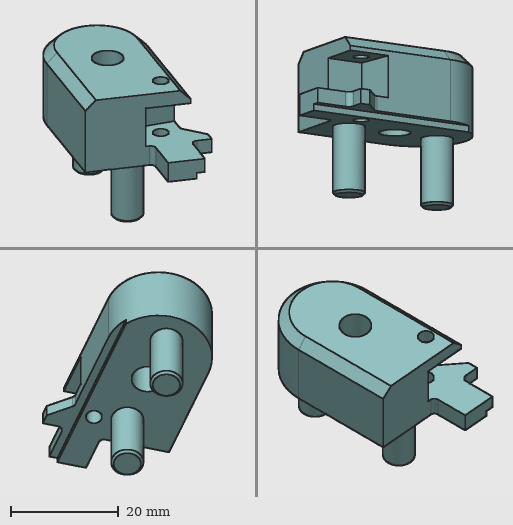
import cadquery as cq
import math

body_radius = 10.0
body_height = 14.85
top_chamfer = 2.0
front_corner_x = 30.3
rake_angle = 7.0

pin_radius = 3.0
pin_length = 13.0
pin_chamfer = 0.5
pin_spacing = 20.1
first_pin_x = 5.83

main_hole_radius = 2.97
main_hole_x = 15.5
small_hole_radius = 1.5
small_hole_x = 27.5
small_hole_y = 6.03

plate_height = 4.0
overall_length = 40.2
tab_side_y = 3.0
tail_end_y = 14.0
tail_width = 2.05
corner_fillet = 1.0

notch_ceiling = 11.97
notch_start_x = 24.1
notch_side_y = 1.5

step_side_y = 8.48
step_height = 1.2


def raked_x(y):
    """X of the raked end face at a given Y."""
    return front_corner_x + (y + body_radius) * math.tan(math.radians(rake_angle))


def make_body():
    r = body_radius
    blank = (
        cq.Workplane("XY")
        .moveTo(overall_length, -r)
        .lineTo(r, -r)
        .threePointArc((0, 0), (r, r))
        .lineTo(overall_length, r)
        .close()
        .extrude(body_height)
        .faces(">Z")
        .edges("not >X")
        .chamfer(top_chamfer)
    )
    envelope = (
        cq.Workplane("XY")
        .polyline([(0, -r), (raked_x(-r), -r), (raked_x(r), r), (0, r)])
        .close()
        .extrude(body_height)
    )
    return blank.intersect(envelope)


def make_notch():
    length = overall_length - notch_start_x
    width = body_radius - notch_side_y
    return (
        cq.Workplane("XY", origin=(notch_start_x, notch_side_y, plate_height))
        .box(length, width, notch_ceiling - plate_height, centered=False)
    )


def make_plate():
    r = body_radius
    tab_end_shift = overall_length - raked_x(r)
    tail_tip_x = raked_x(tail_end_y) - tail_width
    ramp_foot_x = tail_tip_x - (tail_end_y - r)
    tail_corner = (raked_x(r), r)
    tab_corner = (raked_x(tab_side_y), tab_side_y)
    ramp_corner = (ramp_foot_x, r)
    outline = [
        (notch_start_x, -r),
        (raked_x(-r), -r),
        tab_corner,
        (raked_x(tab_side_y) + tab_end_shift, tab_side_y),
        (overall_length, r),
        tail_corner,
        (raked_x(tail_end_y), tail_end_y),
        (tail_tip_x, tail_end_y),
        ramp_corner,
        (notch_start_x, r),
    ]
    plate = cq.Workplane("XY").polyline(outline).close().extrude(plate_height)
    for x, y in (tail_corner, tab_corner, ramp_corner):
        corner_edge = cq.selectors.NearestToPointSelector((x, y, plate_height / 2))
        plate = plate.edges("|Z").edges(corner_edge).fillet(corner_fillet)
    return plate


def make_step():
    return (
        cq.Workplane("XY", origin=(0, step_side_y, 0))
        .box(overall_length, tail_end_y - step_side_y, step_height, centered=False)
    )


def make_pins():
    return (
        cq.Workplane("XY")
        .pushPoints([(first_pin_x, 0), (first_pin_x + pin_spacing, 0)])
        .circle(pin_radius)
        .extrude(-pin_length)
        .faces("<Z")
        .chamfer(pin_chamfer)
    )


def make_hole(x, y, radius):
    return cq.Workplane("XY").center(x, y).circle(radius).extrude(body_height)


result = (
    make_body()
    .cut(make_notch())
    .union(make_plate())
    .cut(make_step())
    .cut(make_hole(main_hole_x, 0, main_hole_radius))
    .cut(make_hole(small_hole_x, small_hole_y, small_hole_radius))
    .union(make_pins())
)